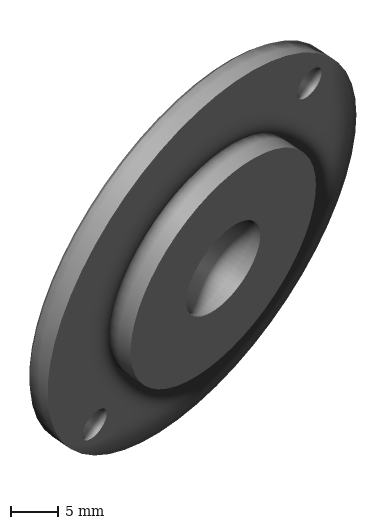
import cadquery as cq

flange_diameter = 50
flange_thickness = 3
rim_chamfer = 0.5

boss_diameter = 30
boss_height = 3

bore_diameter = 12
pin_hole_diameter = 4
pin_circle_radius = 21.5
pin_hole_angle = 36
pin_hole_count = 2

flange = (
    cq.Workplane("YZ")
    .circle(flange_diameter / 2)
    .extrude(flange_thickness)
    .faces("<X")
    .chamfer(rim_chamfer)
)
boss = (
    cq.Workplane("YZ", origin=(flange_thickness, 0, 0))
    .circle(boss_diameter / 2)
    .extrude(boss_height)
)

bore = (
    cq.Workplane("YZ")
    .circle(bore_diameter / 2)
    .extrude(flange_thickness + boss_height)
)

pin_holes = (
    cq.Workplane("YZ")
    .polarArray(pin_circle_radius, pin_hole_angle, 360, pin_hole_count)
    .circle(pin_hole_diameter / 2)
    .extrude(flange_thickness)
)

result = flange.union(boss).cut(bore).cut(pin_holes)